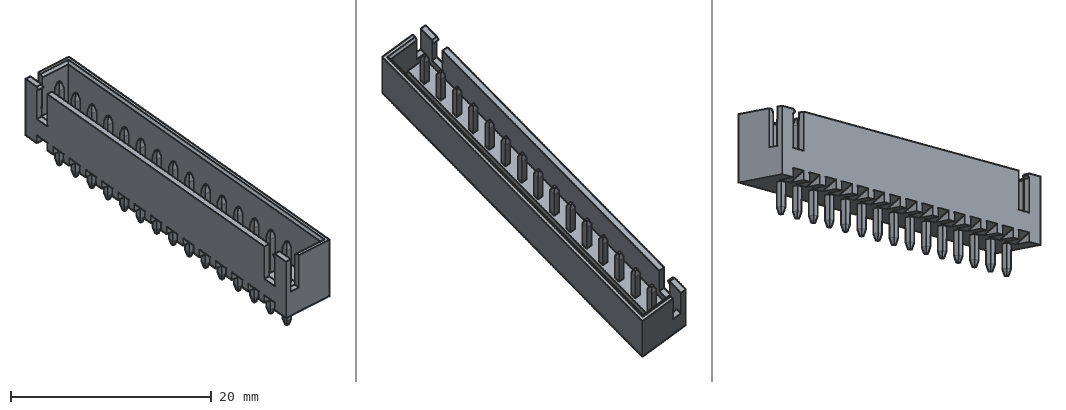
import cadquery as cq

LENGTH = 40.1
DEPTH = 5.7
HEIGHT = 7.0
WALL = 0.65
SLOT_BOTTOM = 3.0
CAVITY_FLOOR = 2.0
REAR_FLOOR = 1.32
STEP_FRONT = 2.9
STEP_RUN = 0.25
RIM_CHAMFER_RUN = 0.3
RIM_CHAMFER_DROP = 0.3

PIN_COUNT = 15
PIN_ROW = 35.0
PIN_PITCH = PIN_ROW / (PIN_COUNT - 1)
PIN_Y = 2.3
PIN_SIZE = 0.65
TIP_SIZE = 0.3
TIP_LENGTH = 0.72
PIN_BELOW = 3.3
PIN_TOP_GAP = 0.1

SLOT_WIDTH = 1.6
SIDE_SLOT_WIDTH = 1.05
RIDGE_HEIGHT = 0.5
RIDGE_REACH = 0.3
NOTCH_HEIGHT = 0.95
NOTCH_DEPTH = 1.75


def box(x0, x1, y0, y1, z0, z1):
    """Box between two corners."""
    block = cq.Workplane("XY").box(x1 - x0, y1 - y0, z1 - z0, centered=False)
    return block.translate((x0, y0, z0))


def extrude_along_x(points, x0, x1):
    """Prism along X from a profile given as (y, z) points."""
    return cq.Workplane("YZ").polyline(points).close().extrude(x1 - x0).translate((x0, 0, 0))


def cavity():
    """Open-topped pocket whose floor steps down behind the pins."""
    back = DEPTH - WALL
    profile = [
        (WALL, HEIGHT),
        (WALL, CAVITY_FLOOR),
        (STEP_FRONT, CAVITY_FLOOR),
        (STEP_FRONT + STEP_RUN, REAR_FLOOR),
        (back, REAR_FLOOR),
        (back, HEIGHT),
    ]
    return extrude_along_x(profile, -LENGTH / 2 + WALL, LENGTH / 2 - WALL)


def rim_chamfer():
    """Lead-in along the inner edge of the rear wall and the end walls."""
    inner_x = LENGTH / 2 - WALL
    lower_depth = DEPTH - 2 * WALL
    upper_depth = lower_depth + RIM_CHAMFER_RUN
    upper_half_length = inner_x + RIM_CHAMFER_RUN
    lower_plane = cq.Workplane("XY", origin=(0, WALL, HEIGHT - RIM_CHAMFER_DROP))
    lower = lower_plane.center(0, lower_depth / 2).rect(2 * inner_x, lower_depth)
    upper_plane = lower.workplane(offset=RIM_CHAMFER_DROP)
    upper = upper_plane.center(0, RIM_CHAMFER_RUN / 2).rect(2 * upper_half_length, upper_depth)
    return upper.loft(ruled=True)


def front_slot(side):
    """Slot through the front wall at one end, with a snap ridge at the top of its outer edge."""
    inner = PIN_ROW / 2 - SLOT_WIDTH / 2
    outer = inner + SLOT_WIDTH
    profile = [
        (side * inner, SLOT_BOTTOM),
        (side * outer, SLOT_BOTTOM),
        (side * outer, HEIGHT - RIDGE_HEIGHT),
        (side * (outer - RIDGE_REACH), HEIGHT - RIDGE_HEIGHT / 2),
        (side * outer, HEIGHT),
        (side * inner, HEIGHT),
    ]
    return cq.Workplane("XZ").polyline(profile).close().extrude(-WALL)


def side_slots():
    """Slots through both end walls, right behind the front wall."""
    return box(-LENGTH / 2, LENGTH / 2, WALL, WALL + SIDE_SLOT_WIDTH, SLOT_BOTTOM, HEIGHT)


def notch(x):
    """Ramped notch in the lower front edge below one pin."""
    profile = [(0, 0), (0, NOTCH_HEIGHT), (NOTCH_DEPTH, 0)]
    return extrude_along_x(profile, x - SLOT_WIDTH / 2, x + SLOT_WIDTH / 2)


def pin(x):
    """Square pin through the floor, tapered at both ends."""
    bottom = -PIN_BELOW
    top = HEIGHT - PIN_TOP_GAP
    half = PIN_SIZE / 2
    shaft = box(x - half, x + half, PIN_Y - half, PIN_Y + half, bottom + TIP_LENGTH, top - TIP_LENGTH)

    def tip(z, length):
        base = cq.Workplane("XY", origin=(x, PIN_Y, z)).rect(PIN_SIZE, PIN_SIZE)
        return base.workplane(offset=length).rect(TIP_SIZE, TIP_SIZE).loft()

    upper_tip = tip(top - TIP_LENGTH, TIP_LENGTH)
    lower_tip = tip(bottom + TIP_LENGTH, -TIP_LENGTH)
    return shaft.union(upper_tip).union(lower_tip)


pin_xs = [-PIN_ROW / 2 + i * PIN_PITCH for i in range(PIN_COUNT)]

result = box(-LENGTH / 2, LENGTH / 2, 0, DEPTH, 0, HEIGHT)
result = result.cut(cavity()).cut(rim_chamfer()).cut(side_slots())
for side in (-1, 1):
    result = result.cut(front_slot(side))
for x in pin_xs:
    result = result.cut(notch(x))
    result = result.union(pin(x))